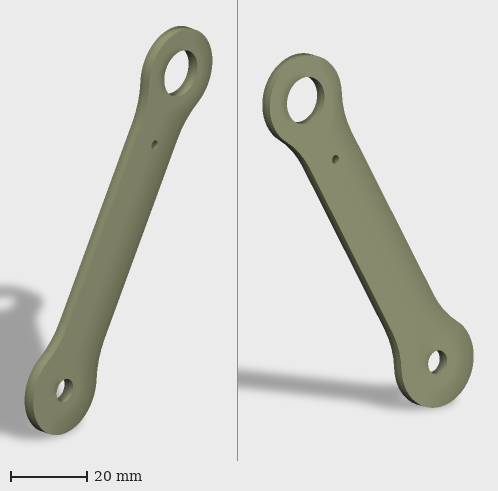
import cadquery as cq
import math

thickness = 3.1
eye_radius = 12.1
height = 101.2
tilt = 30.0
bar_width = 16.2
neck_radius = 24.0
large_bore = 12.7
small_bore = 6.4
pin_hole = 2.4
pin_hole_offset = 20.0

center_distance = (height - 2 * eye_radius) / math.cos(math.radians(tilt))
half_span = center_distance / 2
half_width = bar_width / 2

neck_side = half_width + neck_radius
neck_inset = math.sqrt((eye_radius + neck_radius) ** 2 - neck_side ** 2)
edge_end = half_span - neck_inset
eye_share = eye_radius / (eye_radius + neck_radius)
eye_touch_side = neck_side * eye_share
eye_touch_along = half_span - neck_inset * eye_share

touch_angle = math.atan2(neck_inset, -neck_side)
mid_angle = (touch_angle + math.pi) / 2
neck_mid_side = neck_side + neck_radius * math.cos(mid_angle)
neck_mid_along = edge_end + neck_radius * math.sin(mid_angle)


def link_plate():
    """Upright plate: two round eyes joined by a necked bar."""
    return (
        cq.Workplane("YZ")
        .moveTo(half_width, -edge_end)
        .lineTo(half_width, edge_end)
        .threePointArc((neck_mid_side, neck_mid_along), (eye_touch_side, eye_touch_along))
        .threePointArc((0, half_span + eye_radius), (-eye_touch_side, eye_touch_along))
        .threePointArc((-neck_mid_side, neck_mid_along), (-half_width, edge_end))
        .lineTo(-half_width, -edge_end)
        .threePointArc((-neck_mid_side, -neck_mid_along), (-eye_touch_side, -eye_touch_along))
        .threePointArc((0, -half_span - eye_radius), (eye_touch_side, -eye_touch_along))
        .threePointArc((neck_mid_side, -neck_mid_along), (half_width, -edge_end))
        .close()
        .extrude(thickness)
    )


def through_hole(along, diameter):
    """Cylinder through the plate on the link's centre line."""
    return cq.Workplane("YZ").center(0, along).circle(diameter / 2).extrude(thickness)


link = link_plate()
for along, diameter in (
    (half_span, large_bore),
    (half_span - pin_hole_offset, pin_hole),
    (-half_span, small_bore),
):
    link = link.cut(through_hole(along, diameter))

result = link.rotate((0, 0, 0), (1, 0, 0), -tilt)